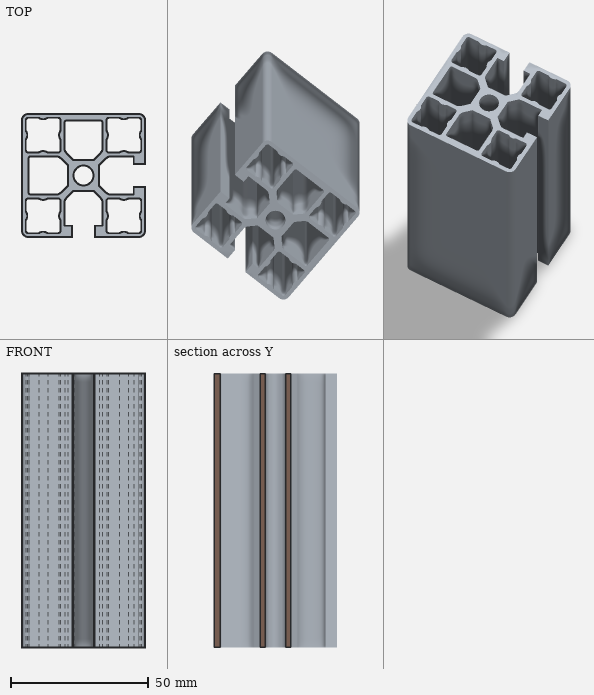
import cadquery as cq

side = 45.0
length = 100.0
outer_corner_radius = 2.5
half_side = side / 2

core_half_width = 5.7
bore_diameter = 7.2

channel_half_width = 6.9
channel_floor_half_width = 3.7
web_chamfer = channel_half_width - channel_floor_half_width
chamfer_end = core_half_width + web_chamfer
web_blend_radius = 2.4
closed_wall = 2.5
closed_corner_radius = 0.7
slot_lip_thickness = 4.2
slot_width = 8.3

cell_outer_wall = 1.5
cell_inner_wall = 1.5
cell_start = channel_half_width + cell_inner_wall
cell_end = half_side - cell_outer_wall
cell_size = cell_end - cell_start
cell_center = (cell_start + cell_end) / 2
cell_corner_radius = 0.9

ridge_half_width = 1.6
ridge_height = 0.55


def around_axis(body, angle):
    """Turn a body about the axis of the extrusion."""
    return body.rotate((0, 0, 0), (0, 0, 1), angle)


def channel(outer_depth):
    """Channel on the +Y side of the core, running out to outer_depth."""
    body = (
        cq.Workplane("XY")
        .moveTo(-channel_floor_half_width, core_half_width)
        .lineTo(channel_floor_half_width, core_half_width)
        .lineTo(channel_half_width, chamfer_end)
        .lineTo(channel_half_width, outer_depth)
        .lineTo(-channel_half_width, outer_depth)
        .lineTo(-channel_half_width, chamfer_end)
        .close()
        .extrude(length)
    )
    for face in ("<X", ">X"):
        body = body.faces(face).edges("|Z").edges("<Y").fillet(web_blend_radius)
    return body


def closed_channel():
    """Channel shut off by a solid outer wall."""
    return channel(half_side - closed_wall).faces(">Y").edges("|Z").fillet(closed_corner_radius)


def open_channel():
    """Channel reached from outside through a narrower slot."""
    slot_start = half_side - slot_lip_thickness
    slot = (
        cq.Workplane("XY", origin=(0, slot_start, 0))
        .box(slot_width, slot_lip_thickness, length, centered=(True, False, False))
    )
    return channel(slot_start).union(slot)


def ridge():
    """Arched ridge on the -Y wall of a cell centred on the origin."""
    wall = -cell_size / 2
    return (
        cq.Workplane("XY")
        .moveTo(-ridge_half_width, wall)
        .threePointArc((0, wall + ridge_height), (ridge_half_width, wall))
        .close()
        .extrude(length)
    )


def cell():
    """Hollow of one corner cell, centred on the origin."""
    hollow = (
        cq.Workplane("XY")
        .box(cell_size, cell_size, length, centered=(True, True, False))
        .edges("|Z")
        .fillet(cell_corner_radius)
    )
    for angle in (0, 90, 180, 270):
        hollow = hollow.cut(around_axis(ridge(), angle))
    return hollow


result = (
    cq.Workplane("XY")
    .box(side, side, length, centered=(True, True, False))
    .edges("|Z")
    .fillet(outer_corner_radius)
)

result = result.cut(cq.Workplane("XY").circle(bore_diameter / 2).extrude(length))

for angle in (0, 90):
    result = result.cut(around_axis(closed_channel(), angle))

for angle in (180, 270):
    result = result.cut(around_axis(open_channel(), angle))

for x_sign in (-1, 1):
    for y_sign in (-1, 1):
        result = result.cut(cell().translate((x_sign * cell_center, y_sign * cell_center, 0)))